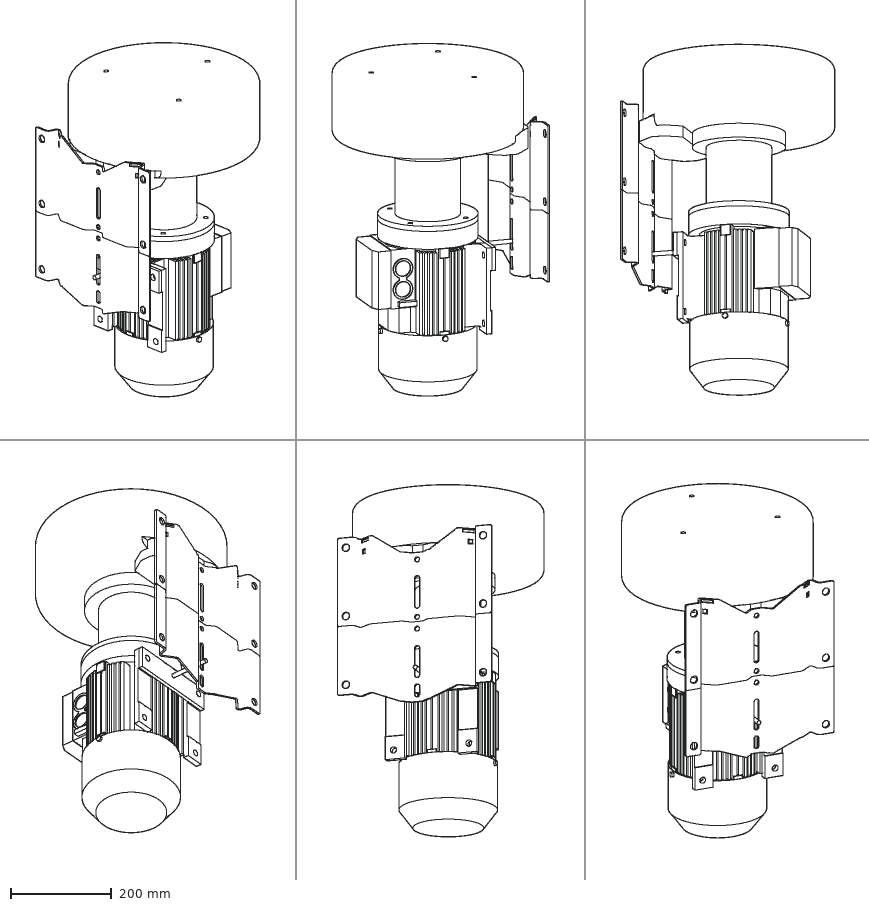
import cadquery as cq
import math

TOTAL_HEIGHT = 659.0
TOTAL_DEPTH = 389.0
COVER_TOP = 132.0
FLANGE_BOTTOM = 310.5
FLANGE_TOP = 347.5
COLUMN_FLANGE_TOP = 358.0
HUB_BOTTOM = 489.0
DRUM_BOTTOM = 517.5

DRUM_RADIUS = 382.0 / 2
DRUM_FILLET = 14.5
DRUM_HOLE_CIRCLE = 120.0
DRUM_HOLE_DIAMETER = 9.0
DRUM_HOLE_DEPTH = 13.0

COLUMN_RADIUS = 65.0
HUB_RADIUS = 93.0
FLANGE_RADIUS = 100.0
FLANGE_HOLE_CIRCLE = 83.0
FLANGE_HOLE_DIAMETER = 9.0

CORE_RADIUS = 78.5
FIN_RADIUS = 95.0
FIN_TOP = 301.0
FIN_BANK_HALF_WIDTH = 48.0
FIN_SLOT_WIDTH = 3.0
FIN_SLOT_OFFSETS = (14.0, 22.5, 31.5, 41.0)
CENTRE_FIN_HALF_WIDTH = FIN_SLOT_OFFSETS[0] - FIN_SLOT_WIDTH / 2
LUG_RADIUS = 97.0
LUG_WIDTH = 19.0
UPPER_LUG_BOTTOM = 290.0
LOWER_LUG_TOP = 138.5

FOOT_INNER_X = 57.0
FOOT_OUTER_X = 97.0
FOOT_BACK_Y = -88.5
FOOT_FRONT_Y = -97.5
FOOT_BOTTOM = 124.5
FOOT_TOP = 302.0
PAD_HEIGHT = 47.5
PAD_FRONT_Y = -100.0
FOOT_HOLE_X = 80.0
FOOT_HOLE_INSET = 18.5
FOOT_HOLE_DIAMETER = 12.5
UPPER_FOOT_HOLE_LEVEL = FOOT_TOP - FOOT_HOLE_INSET
LEG_X = (51.5, 56.0)
LEG_BACK_Y = -53.0
LEG_FLARE_RADIUS = 10.0

SEAT_HALF_WIDTH = 54.0
SEAT_BACK_Y = 94.0
SEAT_CHAMFER_X = 26.5
SEAT_CHAMFER_Y = 13.0

BOX_HALF_WIDTH = 61.0
BOX_FRONT_Y = 49.5
BOX_LID_Y = 100.0
BOX_BACK_Y = 135.0
BOX_BOTTOM = 185.0
BOX_TOP = 306.5
LID_STEP = 1.0
LID_CHAMFER_X = 15.0
LID_CHAMFER_Y = 8.0
GLAND_Y = 76.0
GLAND_LEVELS = (224.0, 267.0)
GLAND_RADIUS = 20.5
GLAND_RECESS_RADIUS = 16.0
GLAND_HEIGHT = 2.5
GLAND_LINK_WIDTH = 16.0
SHELF_REACH = 11.0
SHELF_BACK_Y = 86.5
SHELF_BOTTOM = 190.0
SHELF_TOP = 200.0

COVER_RADIUS = 98.0
COVER_END_RADIUS = 70.5
COVER_TAPER_HEIGHT = 37.0
SCREW_LEVEL = 124.5
SCREW_DIAMETER = 10.5
SCREW_HEIGHT = 4.0

SHEET = 4.0
FLANGE_MID_Y = DRUM_RADIUS - TOTAL_DEPTH + SHEET / 2
WEB_MID_Y = FLANGE_MID_Y + SHEET / 2
CREST_MID_Y = -175.5
HAT_MID_Y = -180.0
PLATE_HALF_WIDTH = 163.0
HALF_BENDS = (
    (12.0, HAT_MID_Y, 8.0),
    (28.5, WEB_MID_Y, 8.5),
    (93.5, WEB_MID_Y, 13.0),
    (118.0, CREST_MID_Y, 4.0),
    (124.5, CREST_MID_Y, 4.5),
    (130.0, FLANGE_MID_Y, 8.5),
    (PLATE_HALF_WIDTH, FLANGE_MID_Y, 0),
)
PLATE_BOTTOM = 215.5
PLATE_SIDE_BOTTOM = 238.5
PLATE_SPLIT = 380.0
PLATE_CENTRE_TOP = 522.0
PLATE_TOP = 561.0
CENTRE_EDGE_HALF_WIDTH = 30.0
SIDE_EDGE_START_X = 89.5
CORNER_RADIUS = 3.0
SHEET_CUT_DEPTH = 33.0
PLATE_HOLE_X = 145.0
PLATE_HOLE_DIAMETER = 15.0
UPPER_SIDE_HOLES = (400.0, 540.5)
LOWER_SIDE_HOLES = (259.0,)
CENTRE_HOLE_DIAMETER = 10.0
UPPER_CENTRE_HOLES = (389.5, 507.5)
LOWER_CENTRE_HOLES = (365.0,)
SLOT_WIDTH = 10.5
UPPER_SLOTS = ((407.5, 474.0),)
LOWER_SLOTS = ((225.5, 252.0), (265.0, 330.0))
WINDOW_X = 113.0
WINDOW_LEVEL = 534.0
WINDOW_SIZE = (7.0, 9.0)
SLIT_X = (99.5, 118.5)
SLIT_LEVELS = (553.0, 559.0)

BRACKET_BOTTOM = 495.0
BRACKET_TOP = 537.0
BRACKET_FRONT_Y = -185.0
BRACKET_HALF_WIDTH = 116.0
BRACKET_BACK_Y = -88.5
BRACKET_BACK_HALF_WIDTH = 96.0
BRACKET_SHOULDER_Y = -120.5
BRACKET_FLANK_Y = -147.5
BRACKET_SIDE_RADIUS = 10.0
BRACKET_FRONT_RADIUS = 20.0
SEAT_WALL_Y = -137.0
CHANNEL_FLOOR_Y = HAT_MID_Y + SHEET / 2
CHANNEL_FLOOR_HALF_WIDTH = 11.0
CHANNEL_MOUTH_HALF_WIDTH = 28.0
CHANNEL_MOUTH_RADIUS = 20.0

BAR_FRONT_Y = -108.0
ROD_DIAMETER = 8.5
ROD_END_Y = -192.5


def box_between(x, y, z):
    """Box from three (low, high) ranges."""
    size = [high - low for low, high in (x, y, z)]
    return cq.Workplane("XY").box(*size, centered=False).translate((x[0], y[0], z[0]))


def disc(radius, bottom, top):
    """Vertical cylinder on the motor axis."""
    return cq.Workplane("XY").workplane(offset=bottom).circle(radius).extrude(top - bottom)


def prism(points, bottom, top):
    """Vertical prism over a polygon in plan."""
    return cq.Workplane("XY").workplane(offset=bottom).polyline(points).close().extrude(top - bottom)


def mirrored(half):
    """Full symmetric point list from its +X half, ordered from +X to -X."""
    return list(half) + [(-x, y) for x, y in reversed(half)]


def rod_along_y(x, z, diameter, front, back):
    """Cylinder parallel to Y."""
    plane = cq.Plane(origin=(x, back, z), xDir=(1, 0, 0), normal=(0, -1, 0))
    return cq.Workplane(plane).circle(diameter / 2).extrude(back - front)


def bracket_outline():
    """Plan of the bracket: tapered back, straight sides and 45 degree front flanks."""
    front_half_width = BRACKET_HALF_WIDTH - (BRACKET_FLANK_Y - BRACKET_FRONT_Y)
    return mirrored([
        (BRACKET_BACK_HALF_WIDTH, BRACKET_BACK_Y),
        (BRACKET_HALF_WIDTH, BRACKET_SHOULDER_Y),
        (BRACKET_HALF_WIDTH, BRACKET_FLANK_Y),
        (front_half_width, BRACKET_FRONT_Y),
    ])


def make_bracket():
    """Bracket fitted to the drum and hub, with a channel for the raised centre of the plates."""
    bracket = prism(bracket_outline(), BRACKET_BOTTOM, BRACKET_TOP)
    bracket = bracket.edges("|Z").edges("<Y").fillet(BRACKET_FRONT_RADIUS)
    bracket = bracket.edges("|Z").edges("<X or >X").fillet(BRACKET_SIDE_RADIUS)
    channel = prism(
        mirrored([(CHANNEL_FLOOR_HALF_WIDTH, CHANNEL_FLOOR_Y), (CHANNEL_MOUTH_HALF_WIDTH, BRACKET_FRONT_Y)]),
        BRACKET_BOTTOM, BRACKET_TOP,
    )
    bracket = bracket.cut(channel)
    mouth_edges = cq.selectors.BoxSelector(
        (-CHANNEL_MOUTH_HALF_WIDTH - SHEET, BRACKET_FRONT_Y - SHEET, BRACKET_BOTTOM),
        (CHANNEL_MOUTH_HALF_WIDTH + SHEET, BRACKET_FRONT_Y + SHEET, BRACKET_TOP))
    bracket = bracket.edges("|Z").edges(mouth_edges).fillet(CHANNEL_MOUTH_RADIUS)
    drum_room = box_between(
        (-BRACKET_HALF_WIDTH, BRACKET_HALF_WIDTH), (SEAT_WALL_Y, BRACKET_BACK_Y), (DRUM_BOTTOM, BRACKET_TOP))
    return bracket.cut(drum_room).cut(disc(HUB_RADIUS, HUB_BOTTOM, DRUM_BOTTOM))


def make_drum():
    """Rounded drum with three blind holes on top and a seat for the bracket."""
    drum = disc(DRUM_RADIUS, DRUM_BOTTOM, TOTAL_HEIGHT).edges().fillet(DRUM_FILLET)
    holes = (
        cq.Workplane("XY").workplane(offset=TOTAL_HEIGHT)
        .polarArray(DRUM_HOLE_CIRCLE, 90, 360, 3)
        .circle(DRUM_HOLE_DIAMETER / 2).extrude(-DRUM_HOLE_DEPTH)
    )
    bracket_seat = box_between(
        (-DRUM_RADIUS, DRUM_RADIUS), (-DRUM_RADIUS, SEAT_WALL_Y), (DRUM_BOTTOM, BRACKET_TOP))
    return drum.cut(holes).cut(bracket_seat)


def make_column():
    """Column with a bolted flange at its foot and a hub under the drum."""
    column = (
        disc(FLANGE_RADIUS, FLANGE_TOP, COLUMN_FLANGE_TOP)
        .union(disc(COLUMN_RADIUS, FLANGE_TOP, DRUM_BOTTOM))
        .union(disc(HUB_RADIUS, HUB_BOTTOM, DRUM_BOTTOM))
    )
    bolt_holes = (
        cq.Workplane("XY").workplane(offset=FLANGE_TOP)
        .polarArray(FLANGE_HOLE_CIRCLE, 45, 360, 4)
        .circle(FLANGE_HOLE_DIAMETER / 2).extrude(COLUMN_FLANGE_TOP - FLANGE_TOP)
    )
    return column.cut(bolt_holes)


def fin_bank():
    """Vertical cooling fins on the -Y side, with the lugs of the centre fin."""
    reach = (-LUG_RADIUS, -CORE_RADIUS / 2)
    bank_width = (-FIN_BANK_HALF_WIDTH, FIN_BANK_HALF_WIDTH)
    bank = box_between(bank_width, reach, (COVER_TOP, FIN_TOP))
    centre_width = (-CENTRE_FIN_HALF_WIDTH, CENTRE_FIN_HALF_WIDTH)
    bank = bank.union(box_between(centre_width, reach, (COVER_TOP, FLANGE_BOTTOM)))
    bank = bank.intersect(disc(FIN_RADIUS, COVER_TOP, FLANGE_BOTTOM))
    for offset in (0,) + FIN_SLOT_OFFSETS + tuple(-s for s in FIN_SLOT_OFFSETS):
        slot_width = (offset - FIN_SLOT_WIDTH / 2, offset + FIN_SLOT_WIDTH / 2)
        bank = bank.cut(box_between(slot_width, reach, (COVER_TOP, FLANGE_BOTTOM)))
    lug_width = (-LUG_WIDTH / 2, LUG_WIDTH / 2)
    for levels in ((COVER_TOP, LOWER_LUG_TOP), (UPPER_LUG_BOTTOM, FLANGE_BOTTOM)):
        bank = bank.union(box_between(lug_width, reach, levels))
    return bank


def pad_levels():
    """Height ranges of the lower and upper foot pads."""
    return (FOOT_BOTTOM, FOOT_BOTTOM + PAD_HEIGHT), (FOOT_TOP - PAD_HEIGHT, FOOT_TOP)


def foot_leg():
    """Thin vertical leg that flares outwards where it joins the foot."""
    inner, outer = LEG_X
    flare_y = FOOT_BACK_Y + LEG_FLARE_RADIUS
    arc_inset = LEG_FLARE_RADIUS * (1 - math.sqrt(0.5))
    return (
        cq.Workplane("XY").workplane(offset=COVER_TOP)
        .moveTo(inner, LEG_BACK_Y)
        .lineTo(outer, LEG_BACK_Y)
        .lineTo(outer, flare_y)
        .threePointArc(
            (outer + arc_inset, FOOT_BACK_Y + arc_inset), (outer + LEG_FLARE_RADIUS, FOOT_BACK_Y))
        .lineTo(inner, FOOT_BACK_Y)
        .close().extrude(FIN_TOP - COVER_TOP)
    )


def motor_foot():
    """Foot on the +X side with its leg, two pads and two bolt holes."""
    across = (FOOT_INNER_X, FOOT_OUTER_X)
    foot = box_between(across, (FOOT_FRONT_Y, FOOT_BACK_Y), (FOOT_BOTTOM, FOOT_TOP)).union(foot_leg())
    for levels in pad_levels():
        foot = foot.union(box_between(across, (PAD_FRONT_Y, FOOT_BACK_Y), levels))
    for level in (FOOT_BOTTOM + FOOT_HOLE_INSET, UPPER_FOOT_HOLE_LEVEL):
        foot = foot.cut(rod_along_y(FOOT_HOLE_X, level, FOOT_HOLE_DIAMETER, PAD_FRONT_Y, FOOT_BACK_Y))
    return foot


def terminal_seat():
    """Raised seat on the +Y side that carries the terminal box."""
    outline = mirrored([
        (SEAT_HALF_WIDTH, 0),
        (SEAT_HALF_WIDTH, SEAT_BACK_Y - SEAT_CHAMFER_Y),
        (SEAT_HALF_WIDTH - SEAT_CHAMFER_X, SEAT_BACK_Y),
    ])
    return prism(outline, COVER_TOP, FLANGE_BOTTOM)


def make_motor():
    """Motor with its flange, three fin banks, two feet and the terminal box seat."""
    motor = disc(CORE_RADIUS, COVER_TOP, FLANGE_BOTTOM)
    motor = motor.union(disc(FLANGE_RADIUS, FLANGE_BOTTOM, FLANGE_TOP))
    for angle in (-90, 0, 90):
        motor = motor.union(fin_bank().rotate((0, 0, 0), (0, 0, 1), angle))
    foot = motor_foot()
    return motor.union(foot).union(foot.mirror("YZ")).union(terminal_seat())


def cable_glands():
    """Two recessed ring bosses joined by a link, on the -X wall of the box."""
    wall = cq.Plane(origin=(-BOX_HALF_WIDTH, GLAND_Y, 0), xDir=(0, -1, 0), normal=(-1, 0, 0))
    centres = [(0, level) for level in GLAND_LEVELS]
    low, high = GLAND_LEVELS
    link = cq.Workplane(wall).center(0, (low + high) / 2).rect(GLAND_LINK_WIDTH, high - low)
    bosses = cq.Workplane(wall).pushPoints(centres).circle(GLAND_RADIUS).extrude(GLAND_HEIGHT)
    recesses = cq.Workplane(wall).pushPoints(centres).circle(GLAND_RECESS_RADIUS).extrude(GLAND_HEIGHT)
    return link.extrude(GLAND_HEIGHT).union(bosses).cut(recesses)


def make_terminal_box(motor):
    """Terminal box with lid, shelf and cable glands, shaped to the motor behind it."""
    across = (-BOX_HALF_WIDTH, BOX_HALF_WIDTH)
    base = box_between(across, (BOX_FRONT_Y, BOX_LID_Y), (BOX_BOTTOM, BOX_TOP))
    lid_half_width = BOX_HALF_WIDTH - LID_STEP
    lid = prism(
        mirrored([
            (lid_half_width, BOX_LID_Y),
            (lid_half_width, BOX_BACK_Y - LID_CHAMFER_Y),
            (lid_half_width - LID_CHAMFER_X, BOX_BACK_Y),
        ]),
        BOX_BOTTOM + LID_STEP, BOX_TOP - LID_STEP,
    )
    shelf = box_between(
        (-BOX_HALF_WIDTH - SHELF_REACH, -BOX_HALF_WIDTH),
        (BOX_FRONT_Y, SHELF_BACK_Y), (SHELF_BOTTOM, SHELF_TOP))
    return base.union(lid).union(shelf).union(cable_glands()).cut(motor)


def make_fan_cover():
    """Tapered cover with three screw heads around its rim."""
    cover = (
        cq.Workplane("XZ")
        .polyline([
            (0, 0), (COVER_END_RADIUS, 0), (COVER_RADIUS, COVER_TAPER_HEIGHT),
            (COVER_RADIUS, COVER_TOP), (0, COVER_TOP),
        ])
        .close().revolve(360, (0, 0), (0, 1))
    )
    for angle in (0, 90, 180):
        screw = (
            cq.Workplane("YZ").center(0, SCREW_LEVEL)
            .circle(SCREW_DIAMETER / 2).extrude(COVER_RADIUS + SCREW_HEIGHT)
        )
        cover = cover.union(screw.rotate((0, 0, 0), (0, 0, 1), angle))
    return cover


def sheet_side(bends, offset):
    """One face of the bent sheet: mitred (x, y, radius) corners at an offset from its mid-line."""
    headings = [math.atan2(b[1] - a[1], b[0] - a[0]) for a, b in zip(bends, bends[1:])]
    headings = headings[:1] + headings + headings[-1:]
    corners = []
    for (x, y, radius), heading_in, heading_out in zip(bends, headings, headings[1:]):
        half_turn = (heading_out - heading_in) / 2
        miter = heading_in + half_turn + math.pi / 2
        reach = offset / math.cos(half_turn)
        face_radius = radius - offset * math.copysign(1, half_turn) if radius else 0
        corners.append((x + reach * math.cos(miter), y + reach * math.sin(miter), face_radius))
    return corners


def rounded_outline(corners):
    """Closed wire through (x, y, radius) corners, with an arc at each rounded one."""
    path = cq.Workplane("XY").moveTo(*corners[-1][:2])
    for i, (x, y, radius) in enumerate(corners):
        if not radius:
            path = path.lineTo(x, y)
            continue
        corner = cq.Vector(x, y)
        back = (cq.Vector(*corners[i - 1][:2]) - corner).normalized()
        ahead = (cq.Vector(*corners[i + 1][:2]) - corner).normalized()
        half_angle = back.getAngle(ahead) / 2
        tangent = radius / math.tan(half_angle)
        to_arc = radius / math.sin(half_angle) - radius
        start = corner + back * tangent
        middle = corner + (back + ahead).normalized() * to_arc
        end = corner + ahead * tangent
        path = path.lineTo(start.x, start.y).threePointArc((middle.x, middle.y), (end.x, end.y))
    return path.close()


def bent_sheet():
    """Full-height bent sheet before its edges are trimmed."""
    bends = [(-x, y, r) for x, y, r in reversed(HALF_BENDS)] + list(HALF_BENDS)
    outline = sheet_side(bends, -SHEET / 2) + sheet_side(bends, SHEET / 2)[::-1]
    return rounded_outline(outline).extrude(PLATE_TOP - PLATE_BOTTOM).translate((0, 0, PLATE_BOTTOM))


def through_sheet(sketch):
    """Cutter that crosses the full depth of the sheet."""
    return sketch.extrude(-SHEET_CUT_DEPTH)


def front_plane():
    """Plane in front of the sheet with +X to the right and +Z up."""
    depth = FLANGE_MID_Y - SHEET
    return cq.Workplane(cq.Plane(origin=(0, depth, 0), xDir=(1, 0, 0), normal=(0, -1, 0)))


def trim_plate(sheet, outline):
    """Keep the part of the sheet inside an outline seen from the front."""
    return sheet.intersect(through_sheet(front_plane().polyline(outline).close()))


def pierce_plate(plate, side_holes, centre_holes, slots):
    """Flange holes on both sides, then holes and slots along the centre line."""
    flange_points = [(side * PLATE_HOLE_X, level) for side in (-1, 1) for level in side_holes]
    centre_points = [(0, level) for level in centre_holes]
    plate = plate.cut(through_sheet(front_plane().pushPoints(flange_points).circle(PLATE_HOLE_DIAMETER / 2)))
    plate = plate.cut(through_sheet(front_plane().pushPoints(centre_points).circle(CENTRE_HOLE_DIAMETER / 2)))
    for low, high in slots:
        slot = front_plane().center(0, (low + high) / 2).slot2D(high - low, SLOT_WIDTH, 90)
        plate = plate.cut(through_sheet(slot))
    return plate


def make_upper_plate(sheet):
    """Plate above the split, with a window and a slit in each sloping flank."""
    plate = trim_plate(sheet, mirrored([
        (PLATE_HALF_WIDTH, PLATE_SPLIT),
        (PLATE_HALF_WIDTH, PLATE_TOP),
        (SIDE_EDGE_START_X, PLATE_TOP),
        (CENTRE_EDGE_HALF_WIDTH, PLATE_CENTRE_TOP),
    ]))
    for end in ("<X", ">X"):
        plate = plate.faces(end).edges("|Y").fillet(CORNER_RADIUS)
    plate = pierce_plate(plate, UPPER_SIDE_HOLES, UPPER_CENTRE_HOLES, UPPER_SLOTS)
    slit_x = sum(SLIT_X) / 2
    slit_level = sum(SLIT_LEVELS) / 2
    for side in (-1, 1):
        window = front_plane().center(side * WINDOW_X, WINDOW_LEVEL).rect(*WINDOW_SIZE)
        slit = front_plane().center(side * slit_x, slit_level).rect(
            SLIT_X[1] - SLIT_X[0], SLIT_LEVELS[1] - SLIT_LEVELS[0])
        plate = plate.cut(through_sheet(window)).cut(through_sheet(slit))
    return plate


def make_lower_plate(sheet):
    """Plate below the split."""
    plate = trim_plate(sheet, mirrored([
        (PLATE_HALF_WIDTH, PLATE_SPLIT),
        (PLATE_HALF_WIDTH, PLATE_SIDE_BOTTOM),
        (SIDE_EDGE_START_X, PLATE_SIDE_BOTTOM),
        (CENTRE_EDGE_HALF_WIDTH, PLATE_BOTTOM),
    ]))
    for end in ("<X", ">X"):
        plate = plate.faces(end).edges("|Y").edges("<Z").fillet(CORNER_RADIUS)
    return pierce_plate(plate, LOWER_SIDE_HOLES, LOWER_CENTRE_HOLES, LOWER_SLOTS)


def make_strut():
    """Bar across the upper foot pads with a rod into the slot of the lower plate."""
    upper_pad = pad_levels()[1]
    strut = box_between((-FOOT_OUTER_X, FOOT_OUTER_X), (BAR_FRONT_Y, PAD_FRONT_Y), upper_pad)
    for side in (-1, 1):
        strut = strut.cut(rod_along_y(
            side * FOOT_HOLE_X, UPPER_FOOT_HOLE_LEVEL, FOOT_HOLE_DIAMETER, BAR_FRONT_Y, PAD_FRONT_Y))
    return strut.union(rod_along_y(0, UPPER_FOOT_HOLE_LEVEL, ROD_DIAMETER, ROD_END_Y, BAR_FRONT_Y))


drum = make_drum()
bracket = make_bracket()
column = make_column()
motor = make_motor()
terminal_box = make_terminal_box(motor)
fan_cover = make_fan_cover()
sheet = bent_sheet()
upper_plate = make_upper_plate(sheet)
lower_plate = make_lower_plate(sheet)
strut = make_strut()

result = cq.Compound.makeCompound([
    drum.val(),
    bracket.val(),
    column.val(),
    motor.val(),
    terminal_box.val(),
    fan_cover.val(),
    upper_plate.val(),
    lower_plate.val(),
    strut.val(),
])